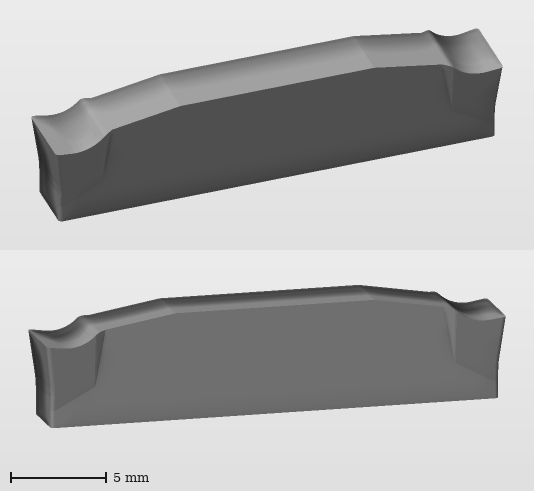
import cadquery as cq
import math

length = 24.98
height = 5.79
head_width = 4.0
body_width = 3.22

edge_height = 4.5
clearance_angle = 7.0
clearance_bottom = 2.17
clearance_blend_bottom = 1.65
rake_angle = 8.0
rake_length = 0.92
crest_inset = 2.78
ramp_inset = 7.08
ramp_angle = 9.5
crest_radius = 0.6

flank_angle = 6.0
back_taper_angle = 3.25
flank_length = 2.73
neck_angle = 30.0
neck_radius = 0.2
corner_radius = 0.2

pick_margin = 0.01

half_length = length / 2


def slope(angle):
    return math.tan(math.radians(angle))


clearance_depth = (edge_height - clearance_bottom) * slope(clearance_angle)
blend_depth = (clearance_bottom - clearance_blend_bottom) * slope(clearance_angle / 2)
body_half_length = half_length - clearance_depth - blend_depth


def make_side_solid():
    """Symmetric YZ outline of the insert, extruded wider than the heads."""
    ramp_y = half_length - ramp_inset
    rake_y = half_length - rake_length
    crest_y = half_length - crest_inset
    rake_height = edge_height - rake_length * slope(rake_angle)
    crest_height = height - (ramp_inset - crest_inset) * slope(ramp_angle)
    half = (
        cq.Workplane("YZ")
        .lineTo(body_half_length, 0)
        .lineTo(body_half_length, clearance_blend_bottom)
        .tangentArcPoint((half_length - clearance_depth, clearance_bottom), relative=False)
        .lineTo(half_length, edge_height)
        .lineTo(rake_y, rake_height)
        .tangentArcPoint((crest_y, crest_height), relative=False)
        .lineTo(ramp_y, height)
        .lineTo(0, height)
        .close()
        .extrude(head_width, both=True)
    )
    crest = cq.selectors.BoxSelector(
        (-2 * head_width, crest_y - pick_margin, crest_height - pick_margin),
        (2 * head_width, crest_y + pick_margin, crest_height + pick_margin),
    )
    half = half.edges(crest).fillet(crest_radius)
    return half.union(half.mirror("XZ"))


def head_section(z):
    """Plan outline of one head at height z: tapered flanks, then necks closing on the centre."""
    corner_setback = corner_radius * math.tan(math.radians(90 + back_taper_angle) / 2)
    setback_drop = corner_setback * slope(rake_angle)
    flank_growth = corner_setback * slope(back_taper_angle) + setback_drop * slope(flank_angle)
    front_x = head_width / 2 + flank_growth + (z - edge_height) * slope(flank_angle)
    rear_x = front_x - flank_length * slope(back_taper_angle)
    rear_y = half_length - flank_length
    apex_y = rear_y - rear_x / slope(neck_angle)
    return [
        (front_x, half_length),
        (rear_x, rear_y),
        (0, apex_y),
        (-rear_x, rear_y),
        (-front_x, half_length),
    ]


def make_head():
    """One wedge-shaped head, with the edges between its flanks and necks rounded."""
    head = (
        cq.Workplane("XY")
        .polyline(head_section(0))
        .close()
        .workplane(offset=height)
        .polyline(head_section(height))
        .close()
        .loft(ruled=True)
    )
    rear_y = half_length - flank_length
    rear_edges = cq.selectors.BoxSelector(
        (-head_width, rear_y - pick_margin, 0), (head_width, rear_y + pick_margin, height)
    )
    return head.edges(rear_edges).edges("not #Z").fillet(neck_radius)


def round_end_corners(part):
    """Round the upright corners where the end faces meet the sides, base to cutting edge."""
    corner_edges = []
    for x_side in (-1, 1):
        for y_side in (-1, 1):
            corner_zone = cq.selectors.BoxSelector(
                (x_side * pick_margin, y_side * (body_half_length - pick_margin), 0),
                (x_side * head_width, y_side * length, height),
            )
            corner_edges += part.edges(corner_zone).vals()
    return part.newObject(corner_edges).fillet(corner_radius)


body = cq.Workplane("XY").box(body_width, length, height, centered=(True, True, False))
head = make_head()
envelope = body.union(head).union(head.mirror("XZ"))
result = round_end_corners(make_side_solid().intersect(envelope))